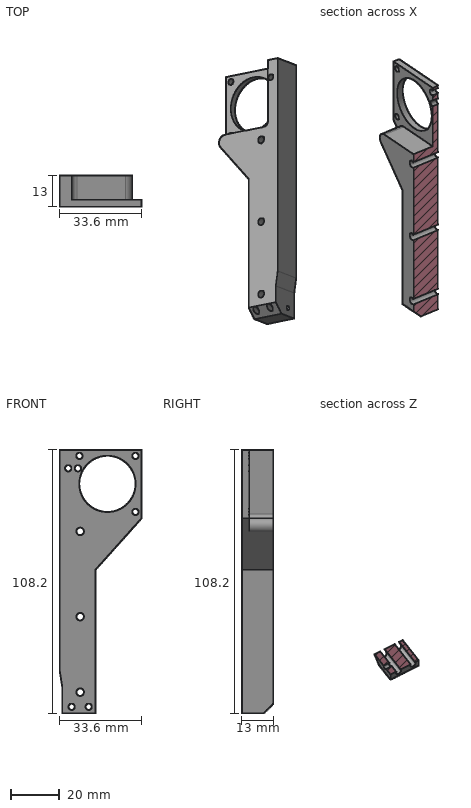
import cadquery as cq
import math

WIDTH = 33.6
DEPTH = 13.0
HEIGHT = 108.2

MOUNT_SIZE = 28.0
MOUNT_HOLE_MARGIN = 2.5
MOUNT_BORE_DIAMETER = 23.0
PLATE_THICKNESS = 3.0

LEG_RIGHT = 14.8
SLOPE_FOOT_Z = 59.0
SLOPE_TOP_Z = 80.0
FOOT_INSET = 1.0
FOOT_TOP_Z = 11.0
TAPER_TOP_Z = 17.2
FOOT_CHAMFER = 4.0

WALL_THICKNESS = 5.0
RECESS_FILLET = 2.0
SHOULDER_FILLET = 3.0

SMALL_HOLE_DIAMETER = 2.5
SENSOR_HOLE_X = 3.5
SENSOR_HOLE_PITCH = 4.0
SENSOR_HOLE_DROP = 7.6
FOOT_HOLE_PITCH = 7.0
FOOT_HOLE_Z = 2.7

LEG_HOLE_DIAMETER = 3.0
LOWER_LEG_HOLE_Z = 8.7
MIDDLE_LEG_HOLE_Z = LOWER_LEG_HOLE_Z + 31.0
UPPER_LEG_HOLE_Z = MIDDLE_LEG_HOLE_Z + 35.0
LEG_HOLE_X = 8.4

SET_SCREW_DIAMETER = 1.75
SET_SCREW_Y = 4.5
SET_SCREW_Z = 3.5

MOUNT_X = WIDTH - MOUNT_SIZE / 2
MOUNT_Z = HEIGHT - MOUNT_SIZE / 2
LEFT_FOOT_HOLE_X = LEG_HOLE_X - FOOT_HOLE_PITCH / 2
RIGHT_FOOT_HOLE_X = LEG_HOLE_X + FOOT_HOLE_PITCH / 2


def make_body():
    """Extrude the full outline from the front face (y = 0) to the back."""
    outline = [
        (FOOT_INSET, 0),
        (LEG_RIGHT, 0),
        (LEG_RIGHT, SLOPE_FOOT_Z),
        (WIDTH, SLOPE_TOP_Z),
        (WIDTH, HEIGHT),
        (0, HEIGHT),
        (0, TAPER_TOP_Z),
        (FOOT_INSET, FOOT_TOP_Z),
    ]
    body = cq.Workplane("XZ").polyline(outline).close().extrude(-DEPTH)
    return body.faces("<Z").edges(">Y").chamfer(FOOT_CHAMFER)


def make_recess():
    """Space behind the motor plate that ends in a rounded shoulder above the slope."""
    slope_angle = math.atan2(SLOPE_TOP_Z - SLOPE_FOOT_Z, WIDTH - LEG_RIGHT)
    tangent_length = SHOULDER_FILLET / math.tan(slope_angle / 2)
    arc_start_x = WIDTH - tangent_length
    arc_middle_angle = slope_angle / 2
    arc_center_z = SLOPE_TOP_Z - SHOULDER_FILLET
    arc_middle = (
        arc_start_x + SHOULDER_FILLET * math.cos(arc_middle_angle),
        arc_center_z + SHOULDER_FILLET * math.sin(arc_middle_angle),
    )
    arc_end = (
        WIDTH - tangent_length * math.cos(slope_angle),
        SLOPE_TOP_Z - tangent_length * math.sin(slope_angle),
    )
    profile = (
        cq.Workplane("XZ", origin=(0, PLATE_THICKNESS, 0))
        .moveTo(WALL_THICKNESS, HEIGHT)
        .lineTo(WALL_THICKNESS, SLOPE_TOP_Z + RECESS_FILLET)
        .radiusArc((WALL_THICKNESS + RECESS_FILLET, SLOPE_TOP_Z), -RECESS_FILLET)
        .lineTo(arc_start_x, SLOPE_TOP_Z)
        .threePointArc(arc_middle, arc_end)
        .lineTo(WIDTH, SLOPE_TOP_Z)
        .lineTo(WIDTH, HEIGHT)
        .close()
    )
    return profile.extrude(-(DEPTH - PLATE_THICKNESS))


def make_front_holes(centers, diameter):
    """Cylinders along Y through the whole depth."""
    return cq.Workplane("XZ").pushPoints(centers).circle(diameter / 2).extrude(-DEPTH)


def small_hole_centers():
    """Centers (x, z) of the motor mount, sensor and foot holes."""
    reach = MOUNT_SIZE / 2 - MOUNT_HOLE_MARGIN
    sensor_z = HEIGHT - SENSOR_HOLE_DROP
    return [
        (MOUNT_X - reach, MOUNT_Z + reach),
        (MOUNT_X + reach, MOUNT_Z + reach),
        (MOUNT_X + reach, MOUNT_Z - reach),
        (SENSOR_HOLE_X, sensor_z),
        (SENSOR_HOLE_X + SENSOR_HOLE_PITCH, sensor_z),
        (LEFT_FOOT_HOLE_X, FOOT_HOLE_Z),
        (RIGHT_FOOT_HOLE_X, FOOT_HOLE_Z),
    ]


def leg_hole_centers():
    """Centers (x, z) of the vertical row of leg mounting holes."""
    heights = (LOWER_LEG_HOLE_Z, MIDDLE_LEG_HOLE_Z, UPPER_LEG_HOLE_Z)
    return [(LEG_HOLE_X, z) for z in heights]


def make_set_screw_hole():
    """Cylinder along X, from the left side to the axis of the left foot hole."""
    return (
        cq.Workplane("YZ")
        .center(SET_SCREW_Y, SET_SCREW_Z)
        .circle(SET_SCREW_DIAMETER / 2)
        .extrude(LEFT_FOOT_HOLE_X)
    )


result = (
    make_body()
    .cut(make_recess())
    .cut(make_front_holes([(MOUNT_X, MOUNT_Z)], MOUNT_BORE_DIAMETER))
    .cut(make_front_holes(small_hole_centers(), SMALL_HOLE_DIAMETER))
    .cut(make_front_holes(leg_hole_centers(), LEG_HOLE_DIAMETER))
    .cut(make_set_screw_hole())
)